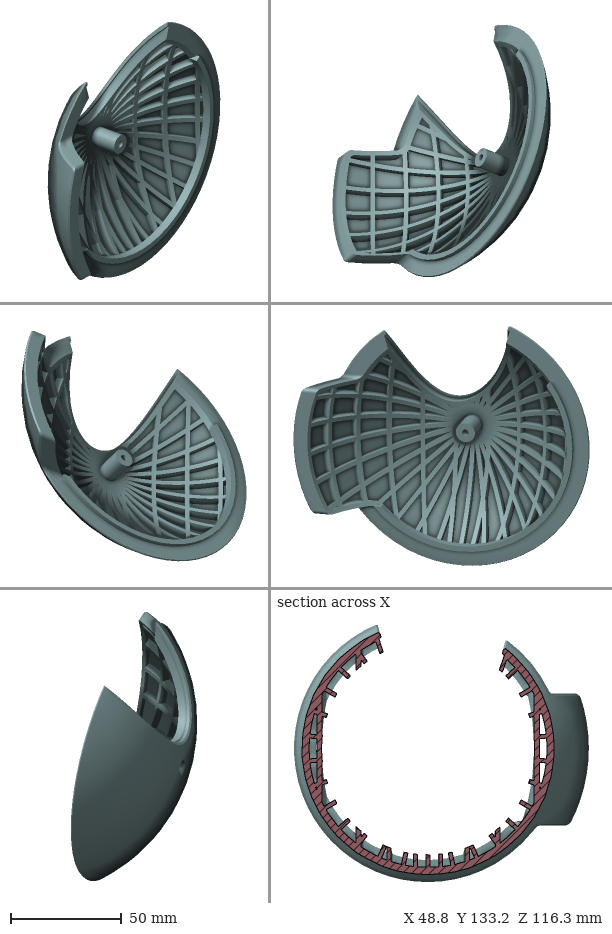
import cadquery as cq
import math


sphere_radius = 79.0
skin_thickness = 2.5
shell_thickness = 6.4
pocket_radius = sphere_radius - skin_thickness
cavity_radius = sphere_radius - shell_thickness

rim_x = -50.2
edge_chamfer = 0.8

tab_end_x = -30.1
tab_top = 24.6
tab_bottom = -34.9
tab_root_fillet = 2.1
tab_corner_fillet = 1.9

notch_center_y = -5.9
notch_center_z = 104.2
notch_half_width = 34.7
notch_half_height = 92.9
notch_lean = -1.6

notch_step = 1.2
notch_step_depth = 2.0

rib_width = 2.0
rib_pitch = 12
frame_width = 2.0
meridian_count = 10

lip_outer_radius = 53.0
lip_thickness = 2.5
lip_inner_radius = lip_outer_radius - lip_thickness
lip_end_x = -48.2
lip_end_angle = math.radians(36)

boss_diameter = 8.9
boss_end_x = -59.4
boss_floor = 4.0
screw_diameter = 3.0
head_diameter = 6.0
head_fillet = 1.2

reach = 2 * sphere_radius
overlap = 1.3
pick_room = 0.1


def ball(radius):
    return cq.Workplane("XY").sphere(radius)


def x_cylinder(diameter, x_start, x_end):
    return cq.Workplane("YZ", origin=(x_start, 0, 0)).circle(diameter / 2).extrude(x_end - x_start)


def notch_cutter(margin):
    """Notch cutter, widened all round by the margin."""
    return (
        cq.Workplane("YZ", origin=(-reach, notch_center_y, notch_center_z))
        .transformed(rotate=(0, 0, notch_lean))
        .ellipse(notch_half_width + margin, notch_half_height + margin)
        .extrude(reach)
    )


def outline(inset):
    """Everything inside the rim, tab and notch edges, pulled in by the inset."""
    rim = rim_x - inset
    dome_block = cq.Workplane("XY").box(reach, 2 * reach, 2 * reach).translate((rim - reach / 2, 0, 0))
    top = tab_top - inset
    bottom = tab_bottom + inset
    end = tab_end_x - inset
    tab_block = (
        cq.Workplane("XY")
        .box(end - rim + overlap, reach, top - bottom)
        .translate(((end + rim - overlap) / 2, -reach / 2, (top + bottom) / 2))
    )
    tab_block = tab_block.edges(">X and |Y").fillet(tab_corner_fillet)
    block = dome_block.union(tab_block)
    root_edges = cq.selectors.BoxSelector(
        (rim - pick_room, -reach, bottom - pick_room), (rim + pick_room, 0, top + pick_room)
    )
    block = block.edges("|Y").edges(root_edges).fillet(tab_root_fillet)
    return block.cut(notch_cutter(inset))


def rib_slabs():
    """Ribs fanning out from the X axis, then ribs in planes through the Z axis."""
    slab = cq.Workplane("XY").box(reach, rib_width, reach)
    for index in range(180 // rib_pitch):
        yield slab.rotate((0, 0, 0), (1, 0, 0), index * rib_pitch)
    for index in range(meridian_count):
        angle = (index - (meridian_count - 1) / 2) * rib_pitch
        yield slab.rotate((0, 0, 0), (0, 0, 1), angle)


def pockets():
    """Hollows between the ribs, open to the inside."""
    hollows = ball(pocket_radius).intersect(outline(frame_width)).cut(ball(cavity_radius))
    hollows = hollows.cut(notch_cutter(notch_step + frame_width))
    hollow_shape = hollows.val()
    for slab in rib_slabs():
        hollow_shape = hollow_shape.cut(slab.val())
    return cq.Workplane(hollow_shape)


def lip():
    """Ring inside the rim, left out across the notch and the tab."""
    start_x = -math.sqrt(cavity_radius**2 - lip_inner_radius**2)
    ring = x_cylinder(2 * lip_outer_radius, start_x, lip_end_x).cut(
        x_cylinder(2 * lip_inner_radius, start_x, lip_end_x)
    )
    gap = (
        cq.Workplane("YZ", origin=(start_x, 0, 0))
        .moveTo(0, 0)
        .lineTo(reach * math.cos(lip_end_angle), reach * math.sin(lip_end_angle))
        .lineTo(-reach, reach)
        .lineTo(-reach, tab_bottom)
        .lineTo(0, tab_bottom)
        .close()
        .extrude(lip_end_x - start_x)
    )
    return ring.cut(gap)


def dome_shell():
    """Hollow dome with its tab, before ribs are formed inside it."""
    dome = ball(sphere_radius).intersect(outline(0))
    dome = dome.faces("%SPHERE").edges().chamfer(edge_chamfer)
    step = notch_cutter(notch_step).intersect(ball(sphere_radius - notch_step_depth))
    return dome.cut(ball(cavity_radius)).cut(step)


def add_screw_boss(body):
    """Boss behind the skin, with a screw hole and a sunken head seat with a rounded mouth."""
    body = body.union(x_cylinder(boss_diameter, -pocket_radius, boss_end_x))
    body = body.cut(x_cylinder(head_diameter, -reach, boss_end_x - boss_floor))
    mouth = cq.selectors.BoxSelector(
        (-reach, -head_diameter, -head_diameter), (-pocket_radius, head_diameter, head_diameter)
    )
    body = body.edges(mouth).fillet(head_fillet)
    return body.cut(x_cylinder(screw_diameter, -reach, boss_end_x))


result = add_screw_boss(dome_shell().cut(pockets()).union(lip()))